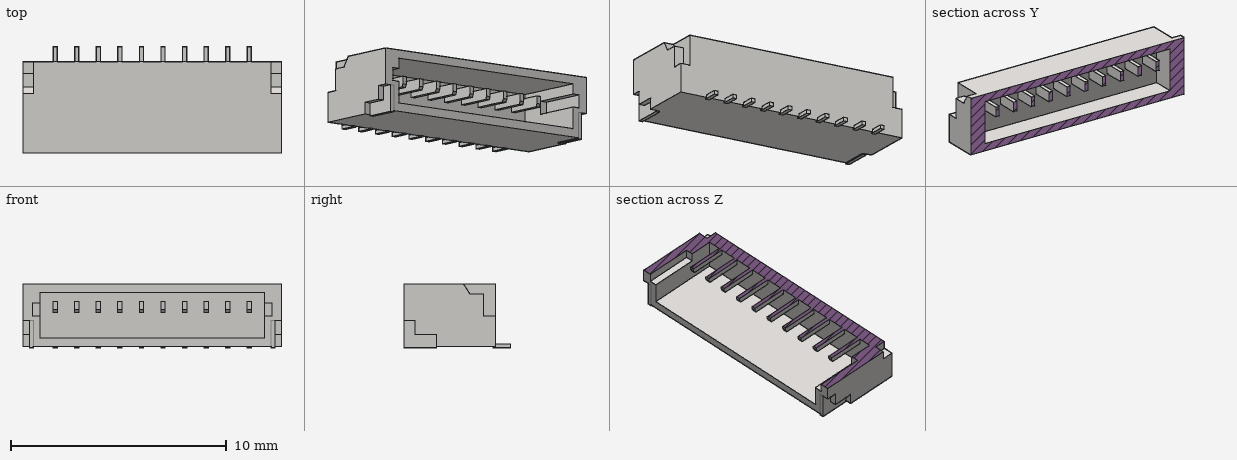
import cadquery as cq


body_length = 12.0
body_depth = 4.25
body_height = 2.9
half_length = body_length / 2
standoff = 0.055

end_wall = 0.8
roof_thickness = 0.4
floor_thickness = 0.4
rear_wall = 0.7
cavity_depth = body_depth - rear_wall

slot_depth = 0.36
slot_length = 2.4
slot_top = body_height - 0.88
slot_bottom = body_height - 1.49

notch_width = 0.49
notch_ledge_z = body_height - 1.49
notch_step_z = body_height - 0.47
notch_ledge_length = 0.55
notch_step_length = 1.19
notch_top_length = 1.49

pocket_width = 0.49
tab_thickness = 0.19
tab_upright_depth = 0.5
tab_upright_top = 1.2
tab_foot_depth = 1.51
tab_foot_top = 0.55

contact_count = 10
contact_pitch = body_length / (contact_count + 2)
contact_width = 0.2
tail_thickness = 0.18
tail_overhang = 0.7
tail_embedded = 0.11
pin_top = body_height - 0.82
pin_height = 0.5
pin_tip_bevel_height = 0.15
pin_tip_bevel_length = 0.07
pin_tip_setback = 1.68


def block(x_min, x_max, y_min, y_max, z_min, z_max):
    """Axis-aligned box between the given limits."""
    size = (x_max - x_min, y_max - y_min, z_max - z_min)
    return cq.Workplane("XY").box(*size, centered=False).translate((x_min, y_min, z_min))


def side_prism(profile, x_min, width):
    """Closed (Y, Z) profile extruded along +X from x_min."""
    return cq.Workplane("YZ").workplane(offset=x_min).polyline(profile).close().extrude(width)


def both_ends(left_feature):
    """A feature at the -X end together with its mirror image at the +X end."""
    return left_feature.union(left_feature.mirror("YZ"))


def make_cavity():
    inner_half = half_length - end_wall
    slot_half = inner_half + slot_depth
    opening = block(-inner_half, inner_half, 0, cavity_depth, floor_thickness, body_height - roof_thickness)
    slots = block(-slot_half, slot_half, 0, slot_length, slot_bottom, slot_top)
    return opening.union(slots)


def make_rear_notch():
    profile = [
        (body_depth, body_height),
        (body_depth, notch_ledge_z),
        (body_depth - notch_ledge_length, notch_ledge_z),
        (body_depth - notch_ledge_length, notch_step_z),
        (body_depth - notch_step_length, notch_step_z),
        (body_depth - notch_top_length, body_height),
    ]
    return side_prism(profile, -half_length, notch_width)


def tab_prism(bottom, x_min, width):
    """L-shaped prism shared by the solder tab and its pocket."""
    profile = [
        (0, bottom),
        (tab_foot_depth, bottom),
        (tab_foot_depth, tab_foot_top),
        (tab_upright_depth, tab_foot_top),
        (tab_upright_depth, tab_upright_top),
        (0, tab_upright_top),
    ]
    return side_prism(profile, x_min, width)


def make_contact(x_center):
    x_min = x_center - contact_width / 2
    tail = block(
        x_min,
        x_min + contact_width,
        body_depth - tail_embedded,
        body_depth + tail_overhang,
        -standoff,
        tail_thickness - standoff,
    )
    pin_bottom = pin_top - pin_height
    pin_profile = [
        (pin_tip_setback, pin_top),
        (cavity_depth, pin_top),
        (cavity_depth, pin_bottom),
        (pin_tip_setback + pin_tip_bevel_length, pin_bottom),
        (pin_tip_setback, pin_bottom + pin_tip_bevel_height),
    ]
    return tail.union(side_prism(pin_profile, x_min, contact_width))


housing = block(-half_length, half_length, 0, body_depth, 0, body_height)
housing = housing.cut(make_cavity())
housing = housing.cut(both_ends(make_rear_notch()))
housing = housing.cut(both_ends(tab_prism(0, -half_length, pocket_width)))

tab_outer_x = -half_length + pocket_width - tab_thickness
result = housing.union(both_ends(tab_prism(-standoff, tab_outer_x, tab_thickness)), clean=False)

first_contact_x = -contact_pitch * (contact_count - 1) / 2
for index in range(contact_count):
    result = result.union(make_contact(first_contact_x + index * contact_pitch), clean=False)